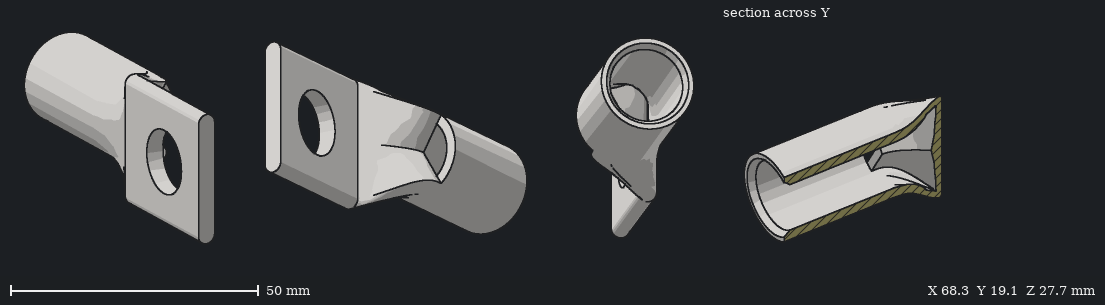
import cadquery as cq
import math

total_length = 68.3
tongue_height = 27.7
barrel_diameter = 19.05
wall = 2.05
barrel_length = 26.85
tongue_start = 39.55
tongue_thickness = 3.8
hole_diameter = 13.5
hole_x = 54.8
mouth_chamfer_width = 0.95
mouth_chamfer_depth = 1.5

fold_angle = math.radians(30)
fold_apex_y = 1.9
lower_seam_y = -2.6
upper_seam_y = 2.4

neck_stations = 6
exit_slope = 1.2
tip_delay = 1.7
slit_thickness = 0.1

barrel_radius = barrel_diameter / 2
bore_radius = barrel_radius - wall
tongue_center_y = tongue_thickness / 2 - barrel_radius


def crimped_points(radius, apex_y):
    """Upper half of the folded tube section as (y, z), from the bottom to the fold apex."""
    tangent = math.tan(fold_angle)
    tip_z = (
        math.sqrt(radius**2 * (1 + tangent**2) - apex_y**2) - apex_y * tangent
    ) / (1 + tangent**2)
    tip_y = apex_y + tip_z * tangent
    seam_scale = radius / barrel_radius
    low, high, tip = (
        math.atan2(z, y)
        for y, z in (
            (lower_seam_y, math.sqrt(barrel_radius**2 - lower_seam_y**2)),
            (upper_seam_y * seam_scale, math.sqrt(radius**2 - (upper_seam_y * seam_scale) ** 2)),
            (tip_y, tip_z),
        )
    )
    angles = (math.pi, low, (low + high) / 2, high, (high + tip) / 2, tip)
    points = [(radius * math.cos(a), radius * math.sin(a)) for a in angles]
    return points + [(apex_y, 0)]


def flat_points(height, thickness):
    """Matching points on a flat section whose two edges are fully rounded."""
    radius = thickness / 2
    round_z = height / 2 - radius
    points = [(tongue_center_y - radius, 0)]
    for degrees in (180, 135, 90, 45, 0):
        angle = math.radians(degrees)
        points.append((
            tongue_center_y + radius * math.cos(angle),
            round_z + radius * math.sin(angle),
        ))
    return points + [(tongue_center_y + radius, 0)]


def section_wire(x, points):
    """Closed section at x, mirrored about Z = 0."""
    bottom, low, low_mid, high, high_mid, tip, apex = [cq.Vector(x, y, z) for y, z in points]

    def mirrored(point):
        return cq.Vector(point.x, point.y, -point.z)

    def arc(start, middle, end):
        if abs(start.y - middle.y) < 6.83e-07:
            return cq.Edge.makeLine(start, end)
        return cq.Edge.makeThreePointArc(start, middle, end)

    return cq.Wire.assembleEdges([
        arc(mirrored(low), bottom, low),
        arc(low, low_mid, high),
        arc(high, high_mid, tip),
        cq.Edge.makeLine(tip, apex),
        cq.Edge.makeLine(apex, mirrored(tip)),
        arc(mirrored(tip), mirrored(high_mid), mirrored(high)),
        arc(mirrored(high), mirrored(low_mid), mirrored(low)),
    ])


def smooth(t):
    return 3 * t**2 - 2 * t**3


def neck_loft(start_points, end_points):
    """Loft that spreads and flattens the folded section along the neck."""
    wires = []
    for station in range(neck_stations):
        t = station / (neck_stations - 1)
        main_blend = smooth(t) + exit_slope * (t**3 - t**2)
        tip_blend = smooth(t**tip_delay)
        y_blends = [main_blend] * 5 + [tip_blend, main_blend]
        z_blends = [main_blend] * 4 + [(main_blend + tip_blend) / 2, tip_blend, main_blend]
        points = [
            (y0 + (y1 - y0) * y_blend, z0 + (z1 - z0) * z_blend)
            for (y0, z0), (y1, z1), y_blend, z_blend in zip(
                start_points, end_points, y_blends, z_blends
            )
        ]
        x = barrel_length + t * (tongue_start - barrel_length)
        wires.append(section_wire(x, points))
    return cq.Workplane(obj=cq.Solid.makeLoft(wires))


bore_profile = [
    (0, 0),
    (0, bore_radius + mouth_chamfer_width),
    (mouth_chamfer_depth, bore_radius),
    (barrel_length, bore_radius),
    (barrel_length, 0),
]
bore = cq.Workplane("XY").polyline(bore_profile).close().revolve(360, (0, 0), (1, 0))
barrel = cq.Workplane("YZ").circle(barrel_radius).extrude(barrel_length).cut(bore)

neck_outside = neck_loft(
    crimped_points(barrel_radius, fold_apex_y),
    flat_points(tongue_height, tongue_thickness),
)
neck_cavity = neck_loft(
    crimped_points(bore_radius, fold_apex_y - wall / math.cos(fold_angle)),
    flat_points(tongue_height - tongue_thickness, slit_thickness),
)
neck = neck_outside.cut(neck_cavity)

tongue = (
    cq.Workplane("YZ", origin=(tongue_start, tongue_center_y, 0))
    .slot2D(tongue_height, tongue_thickness, 90)
    .extrude(total_length - tongue_start)
)
bolt_hole = (
    cq.Workplane("XZ", origin=(hole_x, 0, 0))
    .circle(hole_diameter / 2)
    .extrude(barrel_diameter, both=True)
)

result = barrel.union(neck).union(tongue).cut(bolt_hole)